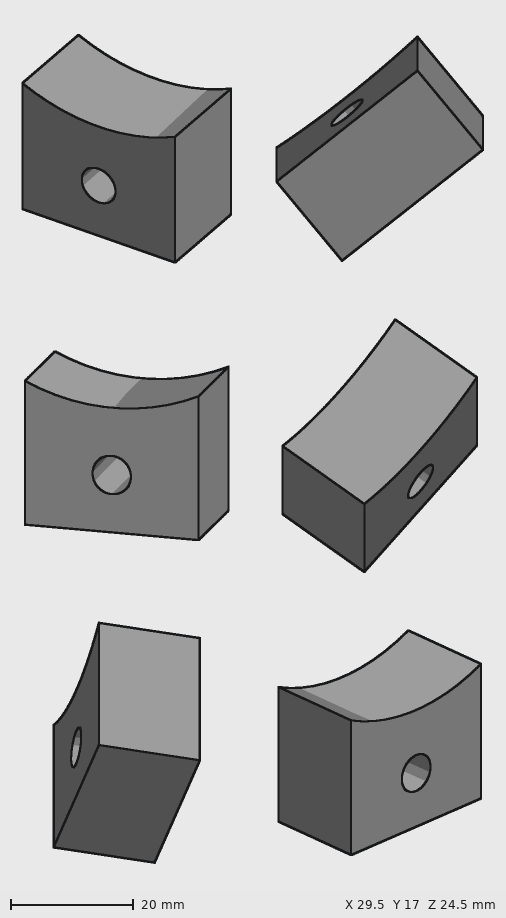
import cadquery as cq
import math

length = 29.5
depth = 17.0
height = 24.5

saddle_radius = 35.0
half_length = length / 2
saddle_sag = saddle_radius - math.sqrt(saddle_radius**2 - half_length**2)

hole_diameter = 6.52
hole_height = 9.8


def make_saddle_block():
    """Block centred on X and Y, resting on Z = 0, with an arc-shaped top."""
    return (
        cq.Workplane("XZ")
        .moveTo(-half_length, 0)
        .lineTo(half_length, 0)
        .lineTo(half_length, height)
        .threePointArc((0, height - saddle_sag), (-half_length, height))
        .close()
        .extrude(depth / 2, both=True)
    )


def make_hole_cutter():
    """Cylinder that passes through the full depth of the block."""
    return (
        cq.Workplane("XZ")
        .center(0, hole_height)
        .circle(hole_diameter / 2)
        .extrude(depth / 2, both=True)
    )


result = make_saddle_block().cut(make_hole_cutter())